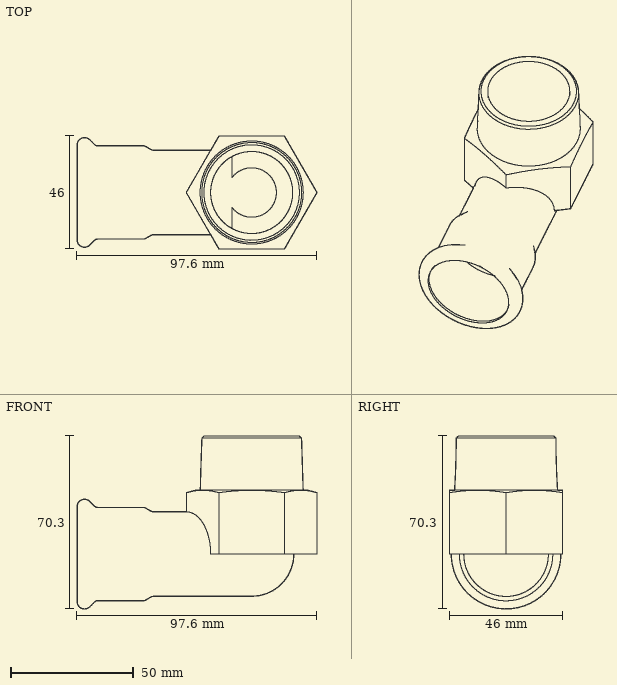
import cadquery as cq
import math

hex_flats = 46.0
hex_corner_radius = hex_flats / math.sqrt(3)
overall_length = 97.6
elbow_x = overall_length - hex_corner_radius
hex_height = 25.95
top_z = 48.0

pipe_radius = 34.4 / 2
pipe_bore_radius = 14.8
socket_radius = 38 / 2
socket_bore_radius = 17.5
socket_wall = socket_radius - socket_bore_radius
socket_depth = 27.3

neck_start_x = 26.9
neck_angle = math.radians(30)
neck_outer_blend = 1.8
neck_inner_blend = 2.5

bead_radius = 3.0
bead_crest_radius = 22.3
bead_center_radius = bead_crest_radius - bead_radius
bead_flank_angle = math.radians(45)
bead_blend_radius = 1.7
groove_arc_radius = 1.95
groove_start_x = bead_radius - groove_arc_radius

thread_taper = 1 / 16
thread_base_radius = 21.0
thread_tip_radius = 19.4
thread_chamfer = 0.9
thread_bore_radius = 16.7

seat_radius = 10.0
seat_height = 4.2
seat_cut_offset = 8.0

hex_chamfer_angle = math.radians(15)
hex_face_radius = 22.9


def revolve_about_x(profile):
    return profile.close().revolve(360, (0, 0, 0), (1, 0, 0))


def revolve_about_elbow(points):
    """Revolve (radius, height) points about the thread axis."""
    profile = cq.Workplane("XZ").polyline(points).close()
    return profile.revolve(360, (0, 0, 0), (0, 1, 0)).translate((elbow_x, 0, 0))


def point_on_arc(center, radius, angle):
    """Point at an angle from the radial direction, positive toward +X."""
    x, r = center
    return (x + radius * math.sin(angle), r + radius * math.cos(angle))


def bead_arc_end(radius):
    return point_on_arc((bead_radius, bead_center_radius), radius, bead_flank_angle)


def bead_blend_center():
    """Center of the hollow blend whose 45-degree tangent continues the bead flank."""
    flank_top = bead_arc_end(bead_radius)
    center_r = socket_radius + bead_blend_radius
    flank_bottom_r = center_r - bead_blend_radius * math.cos(bead_flank_angle)
    flank_bottom_x = flank_top[0] + (flank_top[1] - flank_bottom_r) / math.tan(bead_flank_angle)
    return (flank_bottom_x + bead_blend_radius * math.sin(bead_flank_angle), center_r)


def add_bead_flank(profile, bead_arc_radius, blend_radius):
    """Add the bead's rear arc, its sloping flank and the blend into the socket."""
    center = bead_blend_center()
    crest = (bead_radius, bead_center_radius + bead_arc_radius)
    return (
        profile.threePointArc(crest, bead_arc_end(bead_arc_radius))
        .lineTo(*point_on_arc(center, -blend_radius, bead_flank_angle))
        .threePointArc(
            point_on_arc(center, -blend_radius, bead_flank_angle / 2),
            point_on_arc(center, -blend_radius, 0),
        )
    )


def add_neck(profile):
    """Add the S-shaped step from the socket down to the pipe."""
    blends = neck_outer_blend + neck_inner_blend
    slope_drop = socket_radius - pipe_radius - blends * (1 - math.cos(neck_angle))
    neck_length = blends * math.sin(neck_angle) + slope_drop / math.tan(neck_angle)
    outer_center = (neck_start_x, socket_radius - neck_outer_blend)
    inner_center = (neck_start_x + neck_length, pipe_radius + neck_inner_blend)
    return (
        profile.lineTo(neck_start_x, socket_radius)
        .threePointArc(
            point_on_arc(outer_center, neck_outer_blend, neck_angle / 2),
            point_on_arc(outer_center, neck_outer_blend, neck_angle),
        )
        .lineTo(*point_on_arc(inner_center, -neck_inner_blend, neck_angle))
        .threePointArc(
            point_on_arc(inner_center, -neck_inner_blend, neck_angle / 2),
            point_on_arc(inner_center, -neck_inner_blend, 0),
        )
    )


def pipe_body():
    profile = cq.Workplane("XY").lineTo(0, bead_center_radius)
    profile = add_bead_flank(profile, bead_radius, bead_blend_radius)
    profile = add_neck(profile).lineTo(elbow_x, pipe_radius).lineTo(elbow_x, 0)
    elbow = cq.Workplane("XY").sphere(pipe_radius).translate((elbow_x, 0, 0))
    return revolve_about_x(profile).union(elbow)


def hexagon():
    block = (
        cq.Workplane("XY")
        .center(elbow_x, 0)
        .polygon(6, 2 * hex_corner_radius)
        .extrude(hex_height)
    )
    drop = (hex_corner_radius - hex_face_radius) * math.tan(hex_chamfer_angle)
    envelope = revolve_about_elbow([
        (0, 0),
        (hex_corner_radius, 0),
        (hex_corner_radius, hex_height - drop),
        (hex_face_radius, hex_height),
        (0, hex_height),
    ])
    return block.intersect(envelope)


def thread():
    chamfer_z = top_z - thread_chamfer
    chamfer_r = thread_base_radius - (chamfer_z - hex_height) * thread_taper / 2
    return revolve_about_elbow([
        (0, 0),
        (thread_base_radius, 0),
        (thread_base_radius, hex_height),
        (chamfer_r, chamfer_z),
        (thread_tip_radius, top_z),
        (0, top_z),
    ])


def pipe_cavity():
    """Socket with its seal groove, then the bore, which ends in a half ball below the seat."""
    profile = (
        cq.Workplane("XY")
        .lineTo(0, socket_bore_radius)
        .lineTo(groove_start_x, socket_bore_radius)
        .lineTo(groove_start_x, bead_center_radius)
    )
    profile = add_bead_flank(profile, groove_arc_radius, bead_blend_radius + socket_wall)
    profile = profile.lineTo(socket_depth, socket_bore_radius).lineTo(socket_depth, 0)
    socket = revolve_about_x(profile)
    bore = cq.Workplane("YZ").circle(pipe_bore_radius).extrude(elbow_x - seat_cut_offset)
    lower_bore = cq.Workplane("YZ").circle(pipe_bore_radius).extrude(elbow_x)
    ball = cq.Workplane("XY").sphere(pipe_bore_radius).translate((elbow_x, 0, 0))
    below_seat = (
        cq.Workplane("XY")
        .rect(2 * (elbow_x + pipe_bore_radius), 2 * pipe_bore_radius)
        .extrude(-pipe_bore_radius)
    )
    return socket.union(bore).union(lower_bore.union(ball).intersect(below_seat))


def thread_cavity():
    return revolve_about_elbow([
        (0, 0),
        (seat_radius, 0),
        (thread_bore_radius, seat_height),
        (thread_bore_radius, top_z),
        (0, top_z),
    ])


body = pipe_body().union(hexagon()).union(thread())
result = body.cut(pipe_cavity()).cut(thread_cavity())